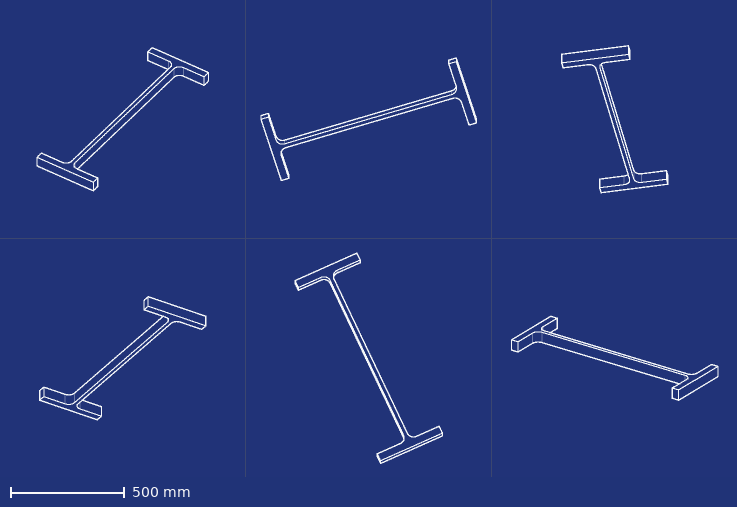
import cadquery as cq

depth = 900.0
flange_width = 300.0
length = 50.0
flange_thickness = 35.0
web_thickness = 19.0
root_radius = 30.0

web_height = depth - 2 * flange_thickness


def flange(side):
    """Flange plate at the +Y (side=1) or -Y (side=-1) end of the web."""
    center_y = side * (depth - flange_thickness) / 2
    return cq.Workplane("XY").center(0, center_y).rect(flange_width, flange_thickness).extrude(length)


web = cq.Workplane("XY").rect(web_thickness, web_height).extrude(length)
beam = web.union(flange(1)).union(flange(-1))

root_corners = cq.selectors.BoxSelector(
    (-web_thickness, -web_height / 2 - root_radius, 0),
    (web_thickness, web_height / 2 + root_radius, length),
)
result = beam.edges("|Z").edges(root_corners).fillet(root_radius)